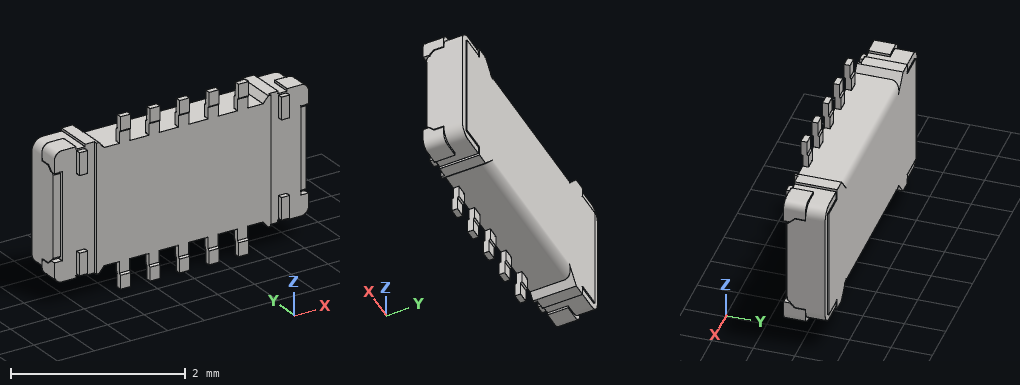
import cadquery as cq

length = 3.46
depth = 0.58
lead_span = 2.2

back_y = depth / 2
solder_y = -depth / 2
end_back_y = back_y - 0.015
centre_front_y = solder_y + 0.02
end_front_y = solder_y + 0.065
cap_back_y = back_y - 0.25
slot_floor_y = end_front_y + 0.04

body_half_height = 0.837
shoulder_outer_x = 1.31
shoulder_inner_x = 1.152
front_step_x = 1.187
core_half_height = 0.755
core_back_radius = 0.118
flank_run = 0.073
flank_drop = body_half_height - core_half_height
flank_depth = flank_drop + core_back_radius
flank_end_x = shoulder_inner_x - flank_run * flank_depth / flank_drop

cap_thickness_x = 0.01
end_half_length = length / 2 - cap_thickness_x
end_half_height = body_half_height - 0.03
end_radius = 0.152
back_pad_half_length = 1.625
back_pad_half_height = 0.71

slot_wall_x = length / 2 - 0.107
slot_half_height = 0.567
bevel = 0.097
cap_inner_x = 1.435
cap_end_z = 0.625
cap_radius = 0.105

tab_width = 0.11
tab_centre_x = 1.375
tab_bottom_z = 0.495
tab_top_z = 0.785

lead_count = 5
lead_pitch = 0.4
lead_width = 0.14
lead_embed = 0.035
lead_tip_z = lead_span / 2
lead_root_back_y = solder_y + 0.095
lead_foot_back_y = solder_y + 0.075
lead_back_step_z = 0.93
lead_front_step_z = 0.9
lead_step_rise = 0.02


def block(x_range, y_range, z_range):
    """Box between two limits on each axis."""
    (x0, x1), (y0, y1), (z0, z1) = x_range, y_range, z_range
    return cq.Workplane("XY").box(x1 - x0, y1 - y0, z1 - z0, centered=False).translate((x0, y0, z0))


def plate(half_length, half_height, y_range):
    """Box centred on the Y axis between two Y levels."""
    return block((-half_length, half_length), y_range, (-half_height, half_height))


def along_x(points, x0, x1):
    """Prism with a (Y, Z) outline, running from x0 to x1."""
    return cq.Workplane("YZ").polyline(points).close().extrude(x1 - x0).translate((x0, 0, 0))


def mirrored_x(shape):
    return shape.union(shape.mirror("YZ"))


def mirrored_z(shape):
    return shape.union(shape.mirror("XY"))


def core():
    bar = plate(front_step_x, core_half_height, (centre_front_y, back_y))
    return bar.edges("|X and >Y").fillet(core_back_radius)


def shoulder():
    """Raised band at the +X end of the core, with sloping flanks toward the core."""
    flank_end_z = body_half_height - flank_depth
    outline = [
        (shoulder_outer_x, -body_half_height),
        (shoulder_outer_x, body_half_height),
        (shoulder_inner_x, body_half_height),
        (flank_end_x, flank_end_z),
        (flank_end_x, -flank_end_z),
        (shoulder_inner_x, -body_half_height),
    ]
    back_plane = cq.Workplane("XZ", origin=(0, back_y, 0))
    band = back_plane.polyline(outline).close().extrude(back_y - centre_front_y)
    front_step = block(
        (front_step_x, shoulder_outer_x),
        (centre_front_y, end_front_y),
        (-body_half_height, body_half_height),
    )
    return band.cut(front_step)


def end_slot():
    """Front slot in the +X end; its floor slopes away at both Z ends."""
    mouth_z = cap_end_z
    floor_z = cap_end_z - bevel
    outline = [
        (end_front_y, -mouth_z),
        (slot_floor_y + bevel, -mouth_z),
        (slot_floor_y, -floor_z),
        (slot_floor_y, floor_z),
        (slot_floor_y + bevel, mouth_z),
        (end_front_y, mouth_z),
    ]
    return along_x(outline, slot_wall_x, length / 2)


def housing_ends():
    ends = plate(end_half_length, end_half_height, (end_front_y, end_back_y))
    ends = ends.edges("|Y").fillet(end_radius)
    middle = plate(shoulder_inner_x, body_half_height, (solder_y, back_y))
    pad = plate(back_pad_half_length, back_pad_half_height, (end_back_y, back_y))
    return ends.union(pad).cut(middle)


def corner_cap():
    """Metal cap wrapping the +X +Z corner, clear of the slot opening."""
    cap = block((cap_inner_x, length / 2), (end_front_y, cap_back_y), (0, body_half_height))
    cap = cap.edges("|Y and >X and >Z").fillet(cap_radius)
    bevel_top_y = slot_floor_y + bevel
    bevel_bottom_y = bevel_top_y - (cap_end_z - slot_half_height)
    opening = [
        (cap_back_y, 0),
        (cap_back_y, cap_end_z),
        (bevel_top_y, cap_end_z),
        (bevel_bottom_y, slot_half_height),
        (end_front_y, slot_half_height),
        (end_front_y, 0),
    ]
    return cap.cut(along_x(opening, cap_inner_x, length / 2))


def solder_tab():
    x_range = (tab_centre_x - tab_width / 2, tab_centre_x + tab_width / 2)
    return block(x_range, (solder_y, end_front_y), (tab_bottom_z, tab_top_z))


def lead(centre_x):
    """Stepped lead on the +Z side, rooted in the core."""
    root_z = core_half_height - lead_embed
    outline = [
        (centre_front_y, root_z),
        (centre_front_y, lead_front_step_z),
        (solder_y, lead_front_step_z + lead_step_rise),
        (solder_y, lead_tip_z),
        (lead_foot_back_y, lead_tip_z),
        (lead_foot_back_y, lead_back_step_z),
        (lead_root_back_y, lead_back_step_z - lead_step_rise),
        (lead_root_back_y, root_z),
    ]
    return along_x(outline, centre_x - lead_width / 2, centre_x + lead_width / 2)


result = housing_ends().cut(mirrored_x(end_slot()))
result = result.union(core()).union(mirrored_x(shoulder()))
result = result.union(mirrored_x(mirrored_z(corner_cap())))
result = result.union(mirrored_x(mirrored_z(solder_tab())))
for index in range(lead_count):
    lead_x = (index - (lead_count - 1) / 2) * lead_pitch
    result = result.union(mirrored_z(lead(lead_x)))